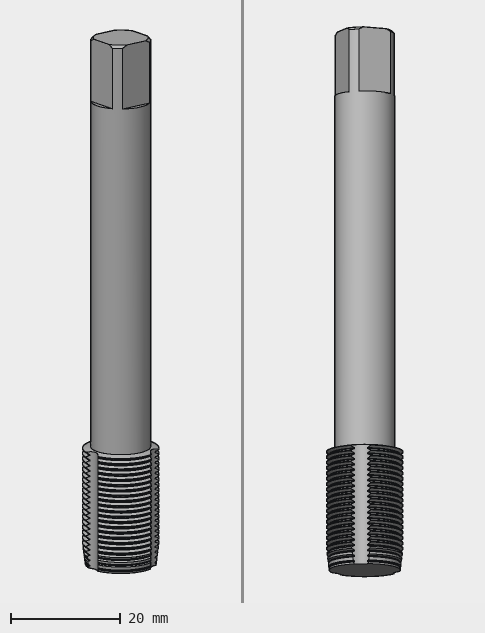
import cadquery as cq

total_length = 100.0
head_length = 22.3

shank_radius = 5.5
square_width = 9.0
square_length = 12.0
end_chamfer = 0.5

thread_radius = 7.0
pitch = 1.0
thread_depth = 0.6
crest_width = pitch / 8
root_width = pitch / 8
shoulder_radius = 5.8
thread_top = 22.0

taper_length = 4.0
tip_radius = 6.5

flute_count = 3
flute_radius = 2.5
flute_offset = 8.5
first_flute_angle = -90.0


def make_shank():
    """Round shank whose upper end is milled to a square across four flats."""
    length = total_length - head_length
    shank = (
        cq.Workplane("XY")
        .workplane(offset=head_length)
        .circle(shank_radius)
        .extrude(length)
        .faces(">Z")
        .chamfer(end_chamfer)
    )
    square_bottom = total_length - square_length
    clearance_radius = 2 * shank_radius
    around_square = (
        cq.Workplane("XY")
        .workplane(offset=square_bottom)
        .circle(clearance_radius)
        .rect(square_width, square_width)
        .extrude(square_length)
    )
    return shank.cut(around_square)


def revolve_about_axis(outline):
    """Full turn about Z of a closed outline given as (radius, height) points."""
    return cq.Workplane("XZ").polyline(outline).close().revolve(360, (0, 0, 0), (0, 1, 0))


def make_thread_blank():
    """Revolved head: conical shoulder on top and one groove between each pair of crests."""
    root_radius = thread_radius - thread_depth
    half_crest = crest_width / 2
    half_root = root_width / 2
    points = [(0, 0), (thread_radius, 0)]
    for tooth in range(round(thread_top / pitch)):
        crest = tooth * pitch
        groove = crest + pitch / 2
        points += [
            (thread_radius, crest + half_crest),
            (root_radius, groove - half_root),
            (root_radius, groove + half_root),
            (thread_radius, crest + pitch - half_crest),
        ]
    points += [
        (thread_radius, thread_top),
        (shoulder_radius, head_length),
        (0, head_length),
    ]
    return revolve_about_axis(points)


def make_tip_envelope():
    """Cylinder with a tapered lower end that trims the first teeth."""
    outline = [
        (0, 0),
        (tip_radius, 0),
        (thread_radius, taper_length),
        (thread_radius, head_length),
        (0, head_length),
    ]
    return revolve_about_axis(outline)


def make_flutes():
    """Round-bottomed grooves along the whole head, evenly spaced."""
    return (
        cq.Workplane("XY")
        .polarArray(flute_offset, first_flute_angle, 360, flute_count)
        .circle(flute_radius)
        .extrude(head_length)
    )


def make_head():
    """Cutting head: ring threads, trimmed at the tip and split by the flutes."""
    return make_thread_blank().intersect(make_tip_envelope()).cut(make_flutes())


head = make_head()
shank = make_shank()

result = cq.Compound.makeCompound([head.val(), shank.val()])